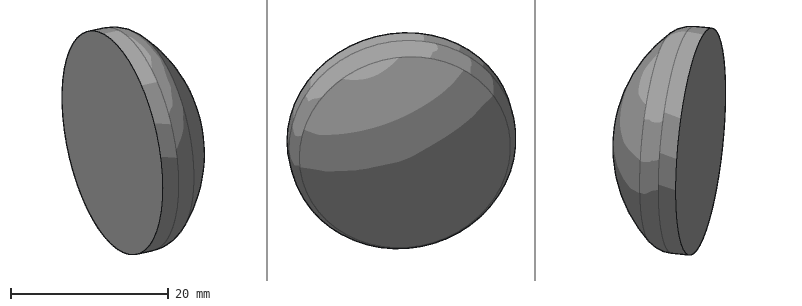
import cadquery as cq
import math

radius = 14.5
height = 11.0
rim_height = 2.25
shoulder_radius = 4.0

shoulder_center_x = radius - shoulder_radius
rise = height - rim_height
dome_radius = (shoulder_center_x**2 + rise**2 - shoulder_radius**2) / (2 * (rise - shoulder_radius))
dome_center_y = height - dome_radius

tangent_angle = math.atan2(rim_height - dome_center_y, shoulder_center_x)


def dome_point(angle):
    """Point on the dome arc at an angle above the flat face."""
    return (dome_radius * math.cos(angle), dome_center_y + dome_radius * math.sin(angle))


def shoulder_point(angle):
    """Point on the shoulder arc at an angle above the flat face."""
    return (
        shoulder_center_x + shoulder_radius * math.cos(angle),
        rim_height + shoulder_radius * math.sin(angle),
    )


half_profile = (
    cq.Workplane("XY")
    .lineTo(radius, 0)
    .lineTo(radius, rim_height)
    .threePointArc(shoulder_point(tangent_angle / 2), shoulder_point(tangent_angle))
    .threePointArc(dome_point((tangent_angle + math.pi / 2) / 2), (0, height))
    .close()
)

result = half_profile.revolve(360, (0, 0, 0), (0, 1, 0))